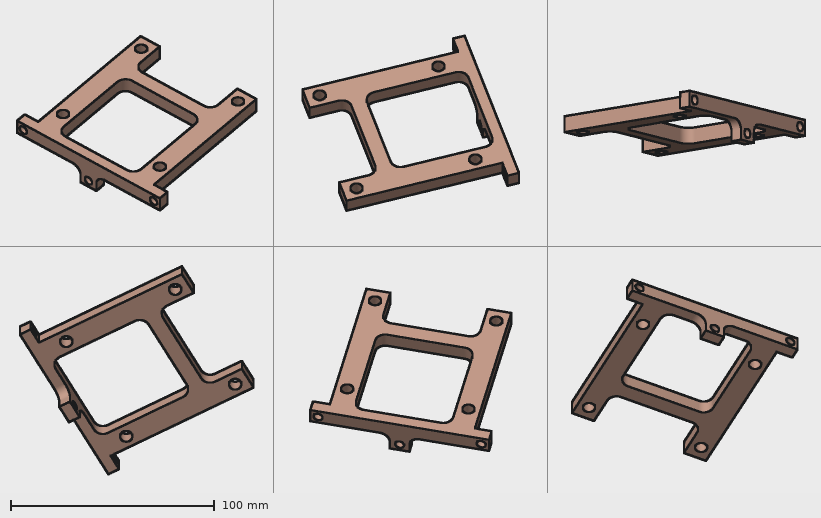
import cadquery as cq

bar_length = 90.0
total_depth = 86.0
total_height = 18.0
thickness = 8.0

bar_depth = 6.0
frame_width = 73.0
arm_width = 12.1
rear_notch_depth = 20.0
cross_member_depth = 8.0
corner_radius = 5.0
opening_width = frame_width - 2 * arm_width
notch_front = total_depth - rear_notch_depth
window_depth = notch_front - cross_member_depth - bar_depth

mount_diameter = 6.0
mount_spacing = 61.0
mount_front = 18.0

tab_width = 10.0
bar_hole_diameter = 4.5
bar_hole_inset = 4.0


def block(width, depth, height, front, bottom):
    """Box centred on X, starting at the given front Y and bottom Z."""
    return (
        cq.Workplane("XY")
        .box(width, depth, height, centered=(True, False, False))
        .translate((0, front, bottom))
    )


frame = block(frame_width, total_depth, thickness, 0, -thickness)
window = block(opening_width, window_depth, thickness, bar_depth, -thickness)
window = window.edges("|Z").fillet(corner_radius)
notch = block(opening_width, rear_notch_depth, thickness, notch_front, -thickness)
notch = notch.edges("|Z and <Y").fillet(corner_radius)

front_bar = block(bar_length, bar_depth, thickness, 0, -thickness)
tab = block(tab_width, bar_depth, total_height, 0, -total_height)
selection_margin = 0.9
tab_root = cq.selectors.BoxSelector(
    (-tab_width, -selection_margin, -thickness - selection_margin),
    (tab_width, bar_depth + selection_margin, -thickness + selection_margin),
)
front_bar = front_bar.union(tab).edges("|Y").edges(tab_root).fillet(corner_radius)

mount_holes = (
    cq.Workplane("XY")
    .center(0, mount_front + mount_spacing / 2)
    .rect(mount_spacing, mount_spacing, forConstruction=True)
    .vertices()
    .circle(mount_diameter / 2)
    .extrude(-thickness)
)

end_hole_x = bar_length / 2 - bar_hole_inset
end_hole_z = -thickness / 2
bar_holes = (
    cq.Workplane("XZ")
    .pushPoints([
        (-end_hole_x, end_hole_z),
        (end_hole_x, end_hole_z),
        (0, bar_hole_inset - total_height),
    ])
    .circle(bar_hole_diameter / 2)
    .extrude(-bar_depth)
)

result = frame.cut(window).cut(notch).union(front_bar).cut(mount_holes).cut(bar_holes)